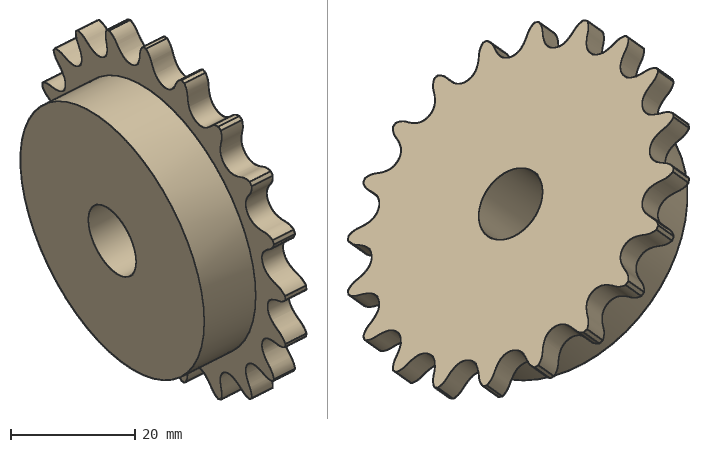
import cadquery as cq
import math

TOOTH_COUNT = 20
PITCH_DIAMETER = 61.25
ROLLER_DIAMETER = 4.75
SEAT_CLEARANCE = 1.0
TIP_FLAT_WIDTH = 0.8
PLATE_THICKNESS = 4.3
TOTAL_WIDTH = 14.7
HUB_DIAMETER = 49.2
BORE_DIAMETER = 12.75

FLANK_CENTER_OFFSET = 0.8 * ROLLER_DIAMETER
TOPPING_CENTER_OFFSET = 1.4 * ROLLER_DIAMETER
SEAT_ANGLE = math.radians(35 + 60 / TOOTH_COUNT)
FLANK_ANGLE = math.radians(18 - 56 / TOOTH_COUNT)

HALF_TOOTH_ANGLE = math.pi / TOOTH_COUNT
PITCH_RADIUS = PITCH_DIAMETER / 2
SEAT_RADIUS = (ROLLER_DIAMETER + SEAT_CLEARANCE) / 2
FLANK_RADIUS = FLANK_CENTER_OFFSET + SEAT_RADIUS


def polar_offset(center, radius, angle):
    """Point at a radius from a center; the angle is measured from the +x direction."""
    return (center[0] + radius * math.cos(angle), center[1] + radius * math.sin(angle))


def right_side_of_gap():
    """Points from the bottom of the top gap up its right flank to the tooth tip."""
    roller_center = (0, PITCH_RADIUS)
    flank_center = polar_offset(roller_center, FLANK_CENTER_OFFSET, math.pi - SEAT_ANGLE)
    topping_center = polar_offset(roller_center, TOPPING_CENTER_OFFSET, -HALF_TOOTH_ANGLE)

    straight_normal = FLANK_ANGLE - SEAT_ANGLE
    across = (topping_center[0] - flank_center[0]) * math.cos(straight_normal)
    along = (topping_center[1] - flank_center[1]) * math.sin(straight_normal)
    topping_radius = across + along - FLANK_RADIUS

    axis_to_center = (
        topping_center[0] * math.cos(HALF_TOOTH_ANGLE)
        - topping_center[1] * math.sin(HALF_TOOTH_ANGLE)
    )
    tip_cosine = (axis_to_center + TIP_FLAT_WIDTH / 2) / topping_radius
    topping_start = math.pi + straight_normal
    topping_end = math.pi - math.acos(tip_cosine) - HALF_TOOTH_ANGLE

    return [
        polar_offset(roller_center, SEAT_RADIUS, -math.pi / 2),
        polar_offset(roller_center, SEAT_RADIUS, -SEAT_ANGLE),
        polar_offset(flank_center, FLANK_RADIUS, straight_normal - FLANK_ANGLE / 2),
        polar_offset(flank_center, FLANK_RADIUS, straight_normal),
        polar_offset(topping_center, topping_radius, topping_start),
        polar_offset(topping_center, topping_radius, (topping_start + topping_end) / 2),
        polar_offset(topping_center, topping_radius, topping_end),
    ]


def turned(point, angle):
    """Point turned clockwise about the sprocket axis."""
    x, y = point
    return (
        x * math.cos(angle) + y * math.sin(angle),
        y * math.cos(angle) - x * math.sin(angle),
    )


def toothed_plate():
    """Toothed plate with one gap centered on +Z, reaching from Y = 0 toward +Y."""
    right_side = right_side_of_gap()
    left_side = [(-x, y) for x, y in right_side]

    outline = cq.Workplane("XZ").moveTo(*left_side[-1])
    for tooth in range(TOOTH_COUNT):
        gap_angle = tooth * 2 * HALF_TOOTH_ANGLE
        left = [turned(point, gap_angle) for point in left_side]
        right = [turned(point, gap_angle) for point in right_side]
        bottom, left_seat, left_flank, left_low, left_high, left_topping, left_tip = left
        _, right_seat, right_flank, right_low, right_high, right_topping, right_tip = right
        if tooth > 0:
            outline = outline.lineTo(*left_tip)
        outline = (
            outline.threePointArc(left_topping, left_high)
            .lineTo(*left_low)
            .threePointArc(left_flank, left_seat)
            .threePointArc(bottom, right_seat)
            .threePointArc(right_flank, right_low)
            .lineTo(*right_high)
            .threePointArc(right_topping, right_tip)
        )
    return outline.close().extrude(-PLATE_THICKNESS)


def hub():
    """Round hub on the -Y side of the plate."""
    return cq.Workplane("XZ").circle(HUB_DIAMETER / 2).extrude(TOTAL_WIDTH - PLATE_THICKNESS)


def bore():
    """Cutter for the plain bore through hub and plate."""
    start = cq.Workplane("XZ", origin=(0, PLATE_THICKNESS, 0))
    return start.circle(BORE_DIAMETER / 2).extrude(TOTAL_WIDTH)


result = toothed_plate().union(hub()).cut(bore())